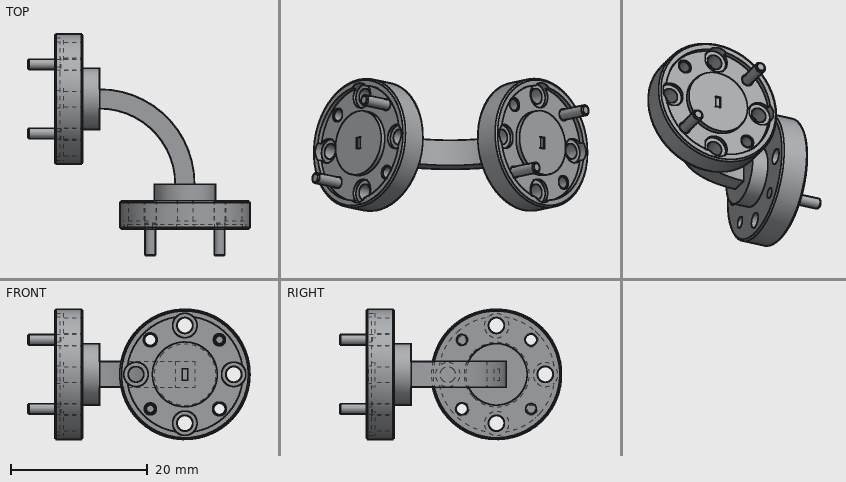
import cadquery as cq
import math

overall_size = 32.45
flange_diameter = 19.05
flange_thickness = 4.12
flange_chamfer = 0.25
hub_diameter = 9.0
hub_length = 2.45
pin_protrusion = 3.9

boss_diameter = 9.48
rim_inner_diameter = 16.97
recess_depth = 0.75

pitch_radius = 7.15
screw_hole_diameter = 2.27
spotface_diameter = 3.57
spotface_depth = 1.25
screw_angles = (0, 90, 180, 270)
pin_diameter = 1.55
pin_chamfer = 0.2
pin_hole_countersink = 0.1
pin_angles = (45, 225)
dowel_hole_diameter = 1.7
dowel_hole_countersink = 0.15
dowel_hole_angles = (135, 315)

tube_width = 2.85
tube_height = 3.75
opening_width = 0.8
opening_height = 1.65
opening_depth = 0.3

bend_radius = overall_size - flange_diameter / 2 - pin_protrusion - flange_thickness - hub_length
face_distance = hub_length + flange_thickness

flange_planes = (
    cq.Plane(origin=(-face_distance, bend_radius, 0), xDir=(0, -1, 0), normal=(-1, 0, 0)),
    cq.Plane(origin=(bend_radius, -face_distance, 0), xDir=(1, 0, 0), normal=(0, -1, 0)),
)


def pitch_points(angles):
    """Points on the pitch circle at the given angles in degrees."""
    return [
        (pitch_radius * math.cos(math.radians(angle)), pitch_radius * math.sin(math.radians(angle)))
        for angle in angles
    ]


def disc(plane, diameter, top, bottom, points=((0, 0),)):
    """Round cylinders between two depths below the mating face."""
    return (
        cq.Workplane(plane)
        .workplane(offset=-bottom)
        .pushPoints(points)
        .circle(diameter / 2)
        .extrude(bottom - top)
    )


def countersunk_holes(plane, diameter, countersink, angles):
    """Cutters for through holes with a 45 degree countersink at the recess floor."""
    radius = diameter / 2
    floor = plane.zDir * -recess_depth
    points = pitch_points(angles)
    holes = disc(plane, diameter, recess_depth, flange_thickness, points)
    for point in points:
        mouth = plane.toWorldCoords(point) + floor
        holes = holes.union(cq.Solid.makeCone(radius + countersink, radius, countersink, mouth, -plane.zDir))
    return holes


def make_flange(plane):
    """Flange disc with its hub, recessed mating face and all holes."""
    flange = disc(plane, flange_diameter, 0, flange_thickness).edges("%CIRCLE").chamfer(flange_chamfer)
    flange = flange.union(disc(plane, hub_diameter, flange_thickness, face_distance))

    recess = disc(plane, rim_inner_diameter, 0, recess_depth).cut(disc(plane, boss_diameter, 0, recess_depth))
    flange = flange.cut(recess)

    screw_points = pitch_points(screw_angles)
    flange = flange.cut(disc(plane, spotface_diameter, 0, spotface_depth, screw_points))
    flange = flange.cut(disc(plane, screw_hole_diameter, 0, flange_thickness, screw_points))

    opening = cq.Workplane(plane).rect(opening_width, opening_height).extrude(-opening_depth)
    flange = flange.cut(opening)

    flange = flange.cut(countersunk_holes(plane, pin_diameter, pin_hole_countersink, pin_angles))
    return flange.cut(countersunk_holes(plane, dowel_hole_diameter, dowel_hole_countersink, dowel_hole_angles))


def make_tube():
    """Quarter-circle bar of rectangular section joining the two hub ends."""
    return (
        cq.Workplane("XZ")
        .center(bend_radius, 0)
        .rect(tube_width, tube_height)
        .revolve(90, (-bend_radius, 0, 0), (-bend_radius, 1, 0))
    )


def make_elbow():
    """Bent waveguide tube with a flange at each end."""
    elbow = make_tube()
    for plane in flange_planes:
        elbow = elbow.union(make_flange(plane))
    return elbow


def make_pin(plane, point):
    """Dowel pin from the back of the flange to its chamfered tip."""
    pin = disc(plane, pin_diameter, -pin_protrusion, flange_thickness, [point])
    tip = cq.selectors.DirectionMinMaxSelector(plane.zDir, True)
    return pin.faces(tip).chamfer(pin_chamfer)


elbow = make_elbow()
pins = [make_pin(plane, point) for plane in flange_planes for point in pitch_points(pin_angles)]

result = cq.Compound.makeCompound([elbow.solids().val(), *[pin.val() for pin in pins]])